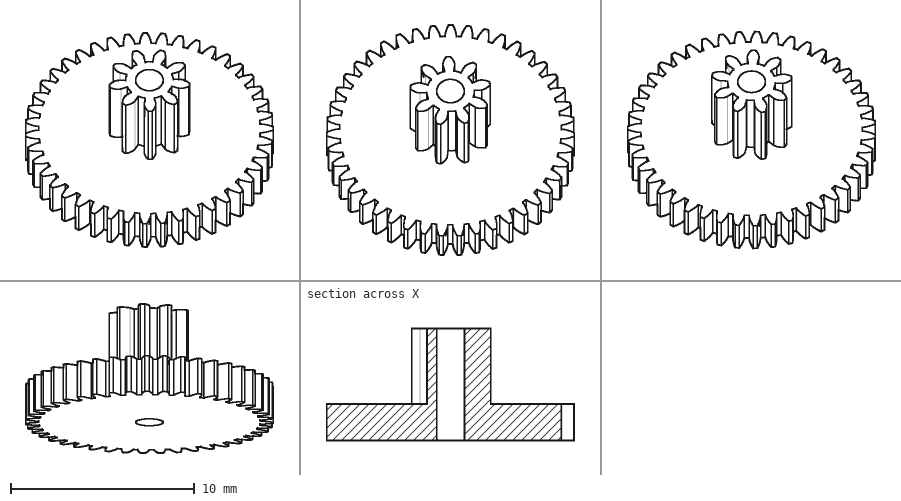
import cadquery as cq
import math

PRESSURE_ANGLE = math.radians(20)
FLANK_SPANS = 5

wheel_teeth = 43
wheel_tip_radius = 6.75
wheel_root_radius = 6.03
wheel_thickness = 2.0

pinion_teeth = 9
pinion_tip_radius = 2.2
pinion_root_radius = 1.3
pinion_length = 4.1

bore_diameter = 1.5

total_height = wheel_thickness + pinion_length


def polar(radius, angle):
    return radius * math.cos(angle), radius * math.sin(angle)


def involute(angle):
    return math.tan(angle) - angle


def spur_gear(teeth, tip_radius, root_radius, thickness):
    """Involute gear standing on the XY plane; its first tooth flank leaves the base circle on +X."""
    pitch_radius = tip_radius * teeth / (teeth + 2)
    base_radius = pitch_radius * math.cos(PRESSURE_ANGLE)
    tooth_pitch = 2 * math.pi / teeth

    base_half_angle = tooth_pitch / 4 + involute(PRESSURE_ANGLE)

    def half_angle(radius):
        return base_half_angle - involute(math.acos(base_radius / radius))

    flank_step = (tip_radius - base_radius) / FLANK_SPANS
    flank_radii = [base_radius + flank_step * span for span in range(FLANK_SPANS + 1)]

    profile = cq.Workplane("XY").moveTo(root_radius, 0)
    for tooth in range(teeth):
        tooth_start = tooth * tooth_pitch
        centre = tooth_start + base_half_angle
        tooth_end = centre + base_half_angle
        next_start = tooth_start + tooth_pitch
        gap_centre = (tooth_end + next_start) / 2

        rising_flank = [polar(radius, centre - half_angle(radius)) for radius in flank_radii]
        falling_flank = [polar(radius, centre + half_angle(radius)) for radius in reversed(flank_radii)]

        profile = (
            profile.lineTo(*rising_flank[0])
            .spline(rising_flank[1:], includeCurrent=True)
            .threePointArc(polar(tip_radius, centre), falling_flank[0])
            .spline(falling_flank[1:], includeCurrent=True)
            .lineTo(*polar(root_radius, tooth_end))
            .threePointArc(polar(root_radius, gap_centre), polar(root_radius, next_start))
        )
    return profile.close().extrude(thickness)


wheel = spur_gear(wheel_teeth, wheel_tip_radius, wheel_root_radius, wheel_thickness)

pinion = spur_gear(pinion_teeth, pinion_tip_radius, pinion_root_radius, total_height)

bore = cq.Workplane("XY").circle(bore_diameter / 2).extrude(total_height)

result = wheel.union(pinion).cut(bore)